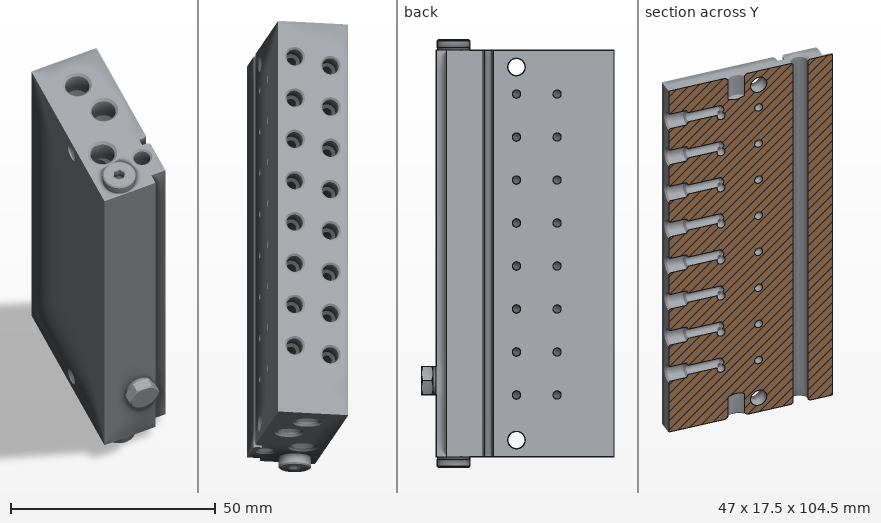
import cadquery as cq
import math

OVERALL_WIDTH = 47.0
OVERALL_LENGTH = 104.5
BLOCK_WIDTH = 43.5
BLOCK_DEPTH = 17.5
BLOCK_LENGTH = 99.4
STEP_X = 41.0
STEP_DEPTH = 3.8
FRONT_EDGE_CHAMFER = 0.16

GROOVE_X = 30.7
GROOVE_WIDTH = 1.8
GROOVE_DEPTH = 2.0
GROOVE_MOUTH_WIDTH = 2.5
GROOVE_MOUTH_DEPTH = 0.8

MOUNT_DIAMETER = 4.2
MOUNT_X = 23.8
MOUNT_Z = 45.6

DRILL_POINT_ANGLE = 118.0
PORT_DIAMETER = 6.0
PORT_MOUTH_DIAMETER = 7.2
PORT_BORE_DEPTH = 6.3
PASSAGE_DIAMETER = 4.1
SUPPLY_PORTS = [
    (8.3, 8.6, 9.2, 8.4),
    (17.9, 11.3, 18.7, 10.7),
    (29.8, 5.6, 28.8, 5.2),
]

CHANNEL_X = 34.9
CHANNEL_Y = 13.9
CHANNEL_MOUTH_DIAMETER = 5.0

OUTLET_COUNT = 8
OUTLET_PITCH = 10.5
OUTLET_DIAMETER = 4.1
OUTLET_MOUTH_DIAMETER = 5.0
OUTLET_BORE_DEPTH = 4.7
OUTLET_DRILL_DIAMETER = 2.5
REAR_COLUMN_Y = 13.3
REAR_COLUMN_MID_Z = 4.0
FRONT_COLUMN_Y = 4.4
FRONT_COLUMN_MID_Z = 2.2

VALVE_PORT_DIAMETER = 2.0
REAR_COLUMN_VALVE_X = 13.9
REAR_COLUMN_VALVE_FLOOR_Y = 12.0
FRONT_COLUMN_VALVE_X = 23.8
FRONT_COLUMN_VALVE_FLOOR_Y = 3.1

PLUG_X = 39.2
PLUG_Y = 5.9
PLUG_DIAMETER = 8.0
PLUG_HEIGHT = (OVERALL_LENGTH - BLOCK_LENGTH) / 2
PLUG_COLLAR_DIAMETER = 7.9
PLUG_COLLAR_HEIGHT = 0.6
PLUG_CHAMFER = 0.3
SOCKET_ACROSS_FLATS = 2.5
SOCKET_MOUTH_DIAMETER = 3.0
SOCKET_DEPTH = 2.6

SCREW_Y = 9.2
SCREW_Z = -31.0
HEX_ACROSS_FLATS = 7.0
COLLAR_LENGTH = 0.7
HEX_LENGTH = OVERALL_WIDTH - BLOCK_WIDTH - COLLAR_LENGTH
HEX_CHAMFER_LENGTH = 0.3


def drilled_hole(diameter, depth, mouth_diameter=None):
    """Drill shape along +Z from the origin, with a pointed floor and a 45 degree mouth."""
    radius = diameter / 2
    point = radius / math.tan(math.radians(DRILL_POINT_ANGLE / 2))
    outline = [(0, 0), (radius, 0)]
    if mouth_diameter:
        mouth_radius = mouth_diameter / 2
        outline = [(0, 0), (mouth_radius, 0), (radius, mouth_radius - radius)]
    outline += [(radius, depth), (0, depth + point)]
    return cq.Workplane("XZ").polyline(outline).close().revolve(360, (0, 0), (0, 1))


def both_ends(upper):
    """The shape together with its mirror image at the other end of the block."""
    return upper.union(upper.mirror("XY"))


def from_top(tool, x, y):
    """Turns a drill shape downwards and sets it on the top face."""
    return tool.rotate((0, 0, 0), (1, 0, 0), 180).translate((x, y, BLOCK_LENGTH / 2))


def through_hole_along_z(diameter, x, y):
    bottom = cq.Workplane("XY", origin=(x, y, -BLOCK_LENGTH / 2))
    return bottom.circle(diameter / 2).extrude(BLOCK_LENGTH)


def block_blank():
    outline = [
        (0, 0),
        (BLOCK_WIDTH, 0),
        (BLOCK_WIDTH, BLOCK_DEPTH - STEP_DEPTH),
        (STEP_X, BLOCK_DEPTH - STEP_DEPTH),
        (STEP_X, BLOCK_DEPTH),
        (0, BLOCK_DEPTH),
    ]
    blank = cq.Workplane("XY").polyline(outline).close().extrude(BLOCK_LENGTH / 2, both=True)
    return blank.faces("<Y").edges("|Z").chamfer(FRONT_EDGE_CHAMFER)


def rear_groove():
    mouth, half = GROOVE_MOUTH_WIDTH / 2, GROOVE_WIDTH / 2
    outline = [
        (-mouth, 0),
        (-half, -GROOVE_MOUTH_DEPTH),
        (-half, -GROOVE_DEPTH),
        (half, -GROOVE_DEPTH),
        (half, -GROOVE_MOUTH_DEPTH),
        (mouth, 0),
    ]
    plane = cq.Workplane("XY", origin=(GROOVE_X, BLOCK_DEPTH, 0))
    return plane.polyline(outline).close().extrude(BLOCK_LENGTH / 2, both=True)


def mounting_holes():
    front = cq.Workplane("XZ").pushPoints([(MOUNT_X, MOUNT_Z), (MOUNT_X, -MOUNT_Z)])
    return front.circle(MOUNT_DIAMETER / 2).extrude(-BLOCK_DEPTH)


def outlet(drill_depth):
    bore = drilled_hole(OUTLET_DIAMETER, OUTLET_BORE_DEPTH, OUTLET_MOUTH_DIAMETER)
    drill = drilled_hole(OUTLET_DRILL_DIAMETER, drill_depth)
    return bore.union(drill).rotate((0, 0, 0), (0, 1, 0), 90)


def valve_port(x, floor_y):
    drill = drilled_hole(VALVE_PORT_DIAMETER, BLOCK_DEPTH - floor_y)
    return drill.rotate((0, 0, 0), (1, 0, 0), 90).translate((x, BLOCK_DEPTH, 0))


def column_levels(mid_z):
    """Heights of one row of outlets or valve ports."""
    return [mid_z + (i - (OUTLET_COUNT - 1) / 2) * OUTLET_PITCH for i in range(OUTLET_COUNT)]


def outlet_column(y, mid_z, valve_x, valve_floor_y):
    """A column of outlets, each drilled in to the valve port that feeds it."""
    one_outlet = outlet(valve_x)
    one_valve_port = valve_port(valve_x, valve_floor_y)
    cutters = cq.Workplane("XY")
    for z in column_levels(mid_z):
        cutters = cutters.add(one_outlet.translate((0, y, z)))
    for z in column_levels(FRONT_COLUMN_MID_Z):
        cutters = cutters.add(one_valve_port.translate((0, 0, z)))
    return cutters.combine()


def make_block():
    block = block_blank().cut(rear_groove()).cut(mounting_holes())
    port = drilled_hole(PORT_DIAMETER, PORT_BORE_DEPTH, PORT_MOUTH_DIAMETER)
    for port_x, port_y, passage_x, passage_y in SUPPLY_PORTS:
        block = block.cut(both_ends(from_top(port, port_x, port_y)))
        block = block.cut(through_hole_along_z(PASSAGE_DIAMETER, passage_x, passage_y))
    half_channel = drilled_hole(PASSAGE_DIAMETER, BLOCK_LENGTH / 2, CHANNEL_MOUTH_DIAMETER)
    block = block.cut(both_ends(from_top(half_channel, CHANNEL_X, CHANNEL_Y)))
    rear_column = outlet_column(
        REAR_COLUMN_Y,
        REAR_COLUMN_MID_Z,
        REAR_COLUMN_VALVE_X,
        REAR_COLUMN_VALVE_FLOOR_Y,
    )
    front_column = outlet_column(
        FRONT_COLUMN_Y,
        FRONT_COLUMN_MID_Z,
        FRONT_COLUMN_VALVE_X,
        FRONT_COLUMN_VALVE_FLOOR_Y,
    )
    block = block.cut(rear_column).cut(front_column)
    return block


def make_plug():
    """End plug on the top face: collar, chamfered head and a hex socket."""
    collar = cq.Workplane("XY").circle(PLUG_COLLAR_DIAMETER / 2).extrude(PLUG_COLLAR_HEIGHT)
    head = (
        cq.Workplane("XY", origin=(0, 0, PLUG_COLLAR_HEIGHT))
        .circle(PLUG_DIAMETER / 2)
        .extrude(PLUG_HEIGHT - PLUG_COLLAR_HEIGHT)
        .faces(">Z")
        .chamfer(PLUG_CHAMFER)
    )
    socket = (
        cq.Workplane("XY", origin=(0, 0, PLUG_HEIGHT - SOCKET_DEPTH))
        .polygon(6, SOCKET_ACROSS_FLATS, circumscribed=True)
        .extrude(SOCKET_DEPTH)
    )
    socket_mouth = (
        cq.Workplane("XY", origin=(0, 0, PLUG_HEIGHT))
        .circle(SOCKET_MOUTH_DIAMETER / 2)
        .extrude(-SOCKET_MOUTH_DIAMETER / 2, taper=45)
    )
    plug = collar.union(head).cut(socket).cut(socket_mouth)
    return plug.translate((PLUG_X, PLUG_Y, BLOCK_LENGTH / 2))


def make_screw():
    """Hex screw head along +X with a round collar against the block."""
    collar = cq.Workplane("YZ").circle(HEX_ACROSS_FLATS / 2).extrude(COLLAR_LENGTH)
    hexagon = (
        cq.Workplane("YZ", origin=(COLLAR_LENGTH, 0, 0))
        .polygon(6, HEX_ACROSS_FLATS, circumscribed=True)
        .extrude(HEX_LENGTH)
    )
    corner_radius = HEX_ACROSS_FLATS / math.sqrt(3)
    corner_cut = corner_radius - HEX_ACROSS_FLATS / 2
    corner_rounding = (
        cq.Workplane("YZ", origin=(COLLAR_LENGTH, 0, 0))
        .circle(corner_radius)
        .extrude(HEX_LENGTH)
        .faces("<X or >X")
        .chamfer(HEX_CHAMFER_LENGTH, corner_cut)
    )
    screw = collar.union(hexagon.intersect(corner_rounding))
    screw = screw.rotate((0, 0, 0), (1, 0, 0), 90)
    return screw.translate((BLOCK_WIDTH, SCREW_Y, SCREW_Z))


block = make_block()
top_plug = make_plug()
bottom_plug = top_plug.mirror("XY")
screw = make_screw()

result = cq.Compound.makeCompound([block.val(), top_plug.val(), bottom_plug.val(), screw.val()])